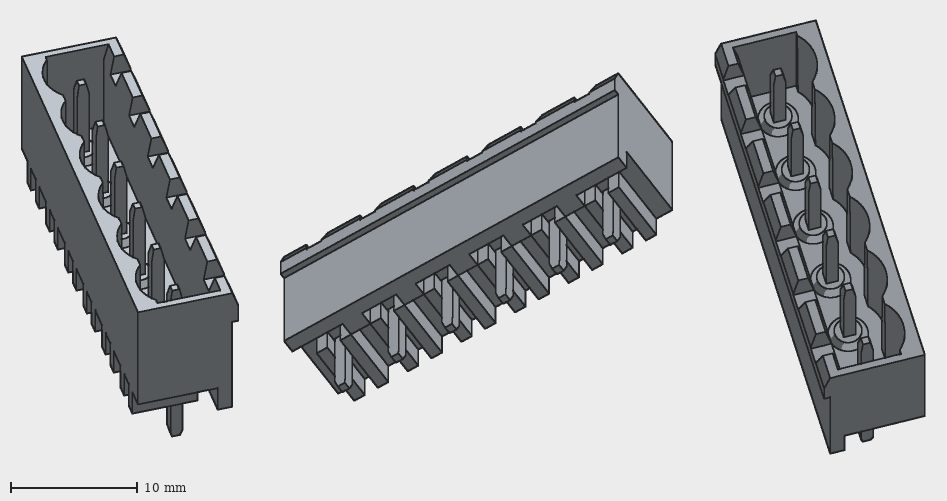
import cadquery as cq


PIN_COUNT = 6
PITCH = 5.08
PIN_SIZE = 1.0
PIN_TOP = 11.0
PIN_BOTTOM = -4.5
UPPER_TIP_SIZE = 0.6
UPPER_TIP_HEIGHT = 1.0
LOWER_TIP_SIZE = 0.66
LOWER_TIP_HEIGHT = 0.66

END_MARGIN = 3.14
LENGTH = (PIN_COUNT - 1) * PITCH + 2 * END_MARGIN
HEIGHT = 12.1
FRONT_Y = -4.0
BACK_Y = 3.8

LIP_OVERHANG = 0.5
LIP_BOTTOM = 9.03
LIP_BEVEL_HEIGHT = 1.4

CAVITY_FLOOR = 3.5
END_WALL = 0.6
CAVITY_FRONT_Y = -2.2
CAVITY_BACK_Y = 2.6
LEAD_IN_WIDTH = 0.4
LEAD_IN_HEIGHT = 1.55
CAVITY_LENGTH = LENGTH - 2 * END_WALL

SCALLOP_TOP_RADIUS = 3.1
SCALLOP_BOTTOM_RADIUS = 2.95

NOTCH_FLOOR = HEIGHT - LEAD_IN_HEIGHT
NOTCH_FLOOR_WIDTH = 1.4
NOTCH_TOP_WIDTH = 2.05

COLLAR_DIAMETER = 3.2
COLLAR_TOP_DIAMETER = 2.2
COLLAR_HEIGHT = 0.5

FOOT_HEIGHT = 2.3
RIB_WIDTH = 1.0
RIB_GAP = 1.24
RIB_BACK_Y = 1.4
RAIL_FRONT_Y = 2.6

PIN_XS = [(i - (PIN_COUNT - 1) / 2) * PITCH for i in range(PIN_COUNT)]


def block(x_range, y_range, z_range):
    """Axis-aligned box between the given limits."""
    size = [high - low for low, high in (x_range, y_range, z_range)]
    corner = (x_range[0], y_range[0], z_range[0])
    return cq.Workplane("XY").box(*size, centered=False).translate(corner)


def along_length(profile, length):
    """Prism of a (y, z) profile, centred on X = 0."""
    return cq.Workplane("YZ").polyline(profile).close().extrude(length / 2, both=True)


def square_taper(x, z_start, size_start, height, size_end):
    """Square frustum on the pin axis; a negative height tapers downwards."""
    return (
        cq.Workplane("XY", origin=(x, 0, z_start))
        .rect(size_start, size_start)
        .workplane(offset=height)
        .rect(size_end, size_end)
        .loft()
    )


def upright_cone(x, z_start, radius_start, height, radius_end):
    """Conical frustum on the pin axis."""
    return (
        cq.Workplane("XY", origin=(x, 0, z_start))
        .circle(radius_start)
        .workplane(offset=height)
        .circle(radius_end)
        .loft()
    )


def housing_body():
    lip_y = BACK_Y + LIP_OVERHANG
    profile = [
        (FRONT_Y, 0),
        (BACK_Y, 0),
        (BACK_Y, LIP_BOTTOM),
        (lip_y, LIP_BOTTOM),
        (lip_y, HEIGHT - LIP_BEVEL_HEIGHT),
        (BACK_Y, HEIGHT),
        (FRONT_Y, HEIGHT),
    ]
    return along_length(profile, LENGTH)


def cavity():
    profile = [
        (CAVITY_FRONT_Y, CAVITY_FLOOR),
        (CAVITY_BACK_Y, CAVITY_FLOOR),
        (CAVITY_BACK_Y, HEIGHT - LEAD_IN_HEIGHT),
        (CAVITY_BACK_Y + LEAD_IN_WIDTH, HEIGHT),
        (CAVITY_FRONT_Y, HEIGHT),
    ]
    return along_length(profile, CAVITY_LENGTH)


def scallop(x):
    """Cone on the pin axis, kept only where it enters the front wall."""
    depth = HEIGHT - CAVITY_FLOOR
    cone = upright_cone(x, CAVITY_FLOOR, SCALLOP_BOTTOM_RADIUS, depth, SCALLOP_TOP_RADIUS)
    front_wall = block(
        (x - PITCH / 2, x + PITCH / 2), (FRONT_Y, CAVITY_FRONT_Y), (CAVITY_FLOOR, HEIGHT)
    )
    return cone.intersect(front_wall)


def notch(x):
    """Trapezoidal cut through the back wall, open at the top."""
    profile = [
        (x - NOTCH_FLOOR_WIDTH / 2, NOTCH_FLOOR),
        (x + NOTCH_FLOOR_WIDTH / 2, NOTCH_FLOOR),
        (x + NOTCH_TOP_WIDTH / 2, HEIGHT),
        (x - NOTCH_TOP_WIDTH / 2, HEIGHT),
    ]
    depth = BACK_Y + LIP_OVERHANG - CAVITY_BACK_Y
    return (
        cq.Workplane("XZ", origin=(0, CAVITY_BACK_Y, 0)).polyline(profile).close().extrude(-depth)
    )


def underside_recess():
    """Everything under the housing in front of the back rail, less the ribs and fillers."""
    foot_z = (0, FOOT_HEIGHT)
    recess = block((-LENGTH / 2, LENGTH / 2), (FRONT_Y, RAIL_FRONT_Y), foot_z)
    rib_offset = RIB_GAP / 2 + RIB_WIDTH
    for x, next_x in zip(PIN_XS, PIN_XS[1:]):
        filler = block((x + rib_offset, next_x - rib_offset), (RIB_BACK_Y, RAIL_FRONT_Y), foot_z)
        recess = recess.cut(filler)
    for x in PIN_XS:
        for rib_x in (x - rib_offset, x + RIB_GAP / 2):
            recess = recess.cut(block((rib_x, rib_x + RIB_WIDTH), (FRONT_Y, RIB_BACK_Y), foot_z))
    return recess


def collar(x):
    return upright_cone(x, CAVITY_FLOOR, COLLAR_DIAMETER / 2, COLLAR_HEIGHT, COLLAR_TOP_DIAMETER / 2)


def pin(x):
    """Square pin, tapered at both ends."""
    shank_bottom = PIN_BOTTOM + LOWER_TIP_HEIGHT
    shank_top = PIN_TOP - UPPER_TIP_HEIGHT
    half = PIN_SIZE / 2
    shank = block((x - half, x + half), (-half, half), (shank_bottom, shank_top))
    upper_tip = square_taper(x, shank_top, PIN_SIZE, UPPER_TIP_HEIGHT, UPPER_TIP_SIZE)
    lower_tip = square_taper(x, shank_bottom, PIN_SIZE, -LOWER_TIP_HEIGHT, LOWER_TIP_SIZE)
    return shank.union(upper_tip).union(lower_tip)


result = housing_body().cut(cavity()).cut(underside_recess())
for pin_x in PIN_XS:
    result = result.cut(scallop(pin_x)).cut(notch(pin_x))
for pin_x in PIN_XS:
    result = result.union(collar(pin_x)).union(pin(pin_x))